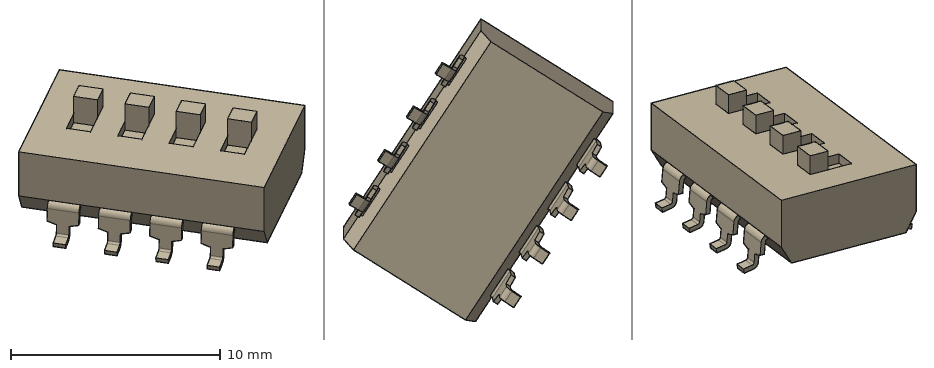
import cadquery as cq
import math


housing_length = 12.14
housing_width = 7.5
housing_height = 3.5
chamfer_height = 1.0
chamfer_inset = 0.57

position_count = 4
pitch = 2.54
position_xs = [(i - (position_count - 1) / 2) * pitch for i in range(position_count)]

slot_width = 1.19
slot_length = 2.31
slot_depth = 0.5
slider_length = 1.0
slider_rise = 1.0

lead_thickness = 0.24
lead_width = 1.57
foot_width = 0.62
embed_length = 0.36
shoulder_inset = 0.12
shoulder_height = 0.64
shoulder_radius = 0.24
shin_length = 1.25
shin_tilt = math.radians(5)
knee_radius = 0.24
foot_length = 0.5
foot_slope = math.radians(10)
taper_top = 0.0
taper_bottom = -0.13


def make_housing():
    half_width = housing_width / 2
    half_base = half_width - chamfer_inset
    section = [
        (-half_base, 0),
        (half_base, 0),
        (half_width, chamfer_height),
        (half_width, housing_height),
        (-half_width, housing_height),
        (-half_width, chamfer_height),
    ]
    return cq.Workplane("YZ").polyline(section).close().extrude(housing_length / 2, both=True)


def make_slot(x):
    return (
        cq.Workplane("XY", origin=(x, 0, housing_height - slot_depth))
        .rect(slot_width, slot_length)
        .extrude(slot_depth)
    )


def make_slider(x):
    center_y = (slot_length - slider_length) / 2
    return (
        cq.Workplane("XY", origin=(x, center_y, housing_height - slot_depth))
        .rect(slot_width, slider_length)
        .extrude(slot_depth + slider_rise)
    )


def polar(center, radius, angle):
    """Point in the YZ plane at a distance and angle from a center."""
    return (center[0] + radius * math.cos(angle), center[1] + radius * math.sin(angle))


def make_lead_strip():
    """Full-width bent strip on the +Y side, centered on X = 0."""
    half = lead_thickness / 2
    shoulder_center = (housing_width / 2 - shoulder_inset, shoulder_height)
    shin_top = polar(shoulder_center, shoulder_radius, shin_tilt)
    shin_bottom = polar(shin_top, shin_length, shin_tilt - math.pi / 2)
    knee_center = polar(shin_bottom, knee_radius, shin_tilt)
    foot_start = polar(knee_center, knee_radius, -math.pi / 2 - foot_slope)
    foot_end = polar(foot_start, foot_length, -foot_slope)

    shoulder_middle = (math.pi / 2 + shin_tilt) / 2
    knee_start = math.pi + shin_tilt
    knee_end = 3 * math.pi / 2 - foot_slope
    knee_middle = (knee_start + knee_end) / 2
    foot_normal = math.pi / 2 - foot_slope

    top_radius = shoulder_radius + half
    under_radius = shoulder_radius - half
    inner_knee = knee_radius - half
    outer_knee = knee_radius + half
    embed_y = shoulder_center[0] - embed_length

    return (
        cq.Workplane("YZ")
        .moveTo(embed_y, shoulder_height + top_radius)
        .lineTo(*polar(shoulder_center, top_radius, math.pi / 2))
        .threePointArc(
            polar(shoulder_center, top_radius, shoulder_middle),
            polar(shoulder_center, top_radius, shin_tilt),
        )
        .lineTo(*polar(knee_center, inner_knee, knee_start))
        .threePointArc(
            polar(knee_center, inner_knee, knee_middle),
            polar(knee_center, inner_knee, knee_end),
        )
        .lineTo(*polar(foot_end, half, foot_normal))
        .lineTo(*polar(foot_end, -half, foot_normal))
        .lineTo(*polar(knee_center, outer_knee, knee_end))
        .threePointArc(
            polar(knee_center, outer_knee, knee_middle),
            polar(knee_center, outer_knee, knee_start),
        )
        .lineTo(*polar(shoulder_center, under_radius, shin_tilt))
        .threePointArc(
            polar(shoulder_center, under_radius, shoulder_middle),
            polar(shoulder_center, under_radius, math.pi / 2),
        )
        .lineTo(embed_y, shoulder_height + under_radius)
        .close()
        .extrude(lead_width / 2, both=True)
    )


def make_lead():
    """Strip trimmed to its outline: wide upper part tapering to a narrow foot."""
    half_lead = lead_width / 2
    half_foot = foot_width / 2
    outline = [
        (-half_lead, housing_height),
        (-half_lead, taper_top),
        (-half_foot, taper_bottom),
        (-half_foot, -housing_height),
        (half_foot, -housing_height),
        (half_foot, taper_bottom),
        (half_lead, taper_top),
        (half_lead, housing_height),
    ]
    trim = cq.Workplane("XZ").polyline(outline).close().extrude(housing_width, both=True)
    return make_lead_strip().intersect(trim)


result = make_housing()
rear_lead = make_lead()
front_lead = rear_lead.mirror("XZ")
for x in position_xs:
    result = result.cut(make_slot(x)).union(make_slider(x))
    for lead in (rear_lead, front_lead):
        result = result.union(lead.translate((x, 0, 0)))